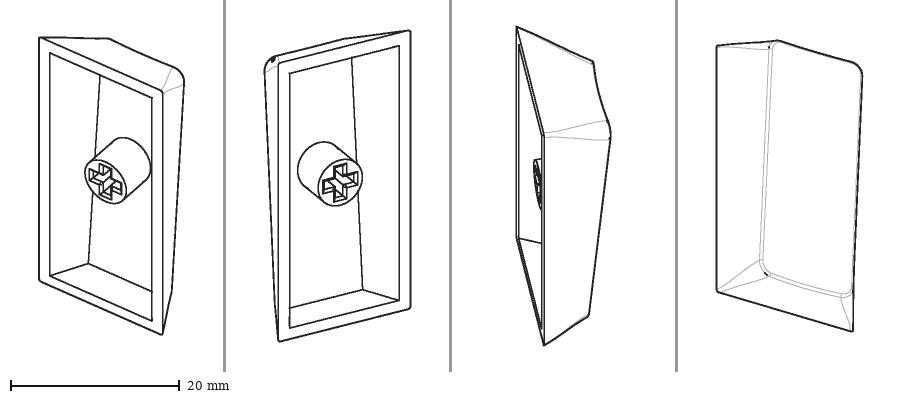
import cadquery as cq
import math

mouth_width = 18.0
length = 37.08
mouth_corner = 0.37

face_width = 12.15
face_top_z = 33.08
face_top_depth = 8.8
face_bottom_depth = 5.95
face_corner = 1.67
face_edge_round = 0.35
dish_sag = 0.5
wall_sections = 7

cavity_mouth_width = 14.85
cavity_bottom_z = 1.5
cavity_mouth_top_z = 35.35
floor_top_width = 9.8
floor_bottom_width = 10.05
floor_top_z = 32.0
floor_top_depth = 7.1
floor_bottom_depth = 4.55

stem_diameter = 6.0
stem_z = length / 2
stem_front = 1.0
cross_span = 4.0
cross_arm = 1.08
chamfer_width = 0.352
chamfer_depth = 0.3
chamfer_angle = math.degrees(math.atan(chamfer_width / chamfer_depth))
cross_depth = 3.7


def blend(start, end, t):
    return start + (end - start) * t


def tilted_rectangle(width, bottom, top, corner):
    """Rounded rectangle centred on X = 0, between (depth, z) points bottom and top."""
    depth_rise = top[0] - bottom[0]
    z_rise = top[1] - bottom[1]
    plane = cq.Plane(
        origin=(0, (bottom[0] + top[0]) / 2, (bottom[1] + top[1]) / 2),
        xDir=(1, 0, 0),
        normal=(0, -z_rise, depth_rise),
    )
    sketch = cq.Sketch().rect(width, math.hypot(depth_rise, z_rise)).vertices().fillet(corner)
    return sketch.reset().faces().val().outerWire().moved(plane.location)


def outer_section(t):
    """Wall section at fraction t of the way from mouth to touch face."""
    eased = t * t * (3 - 2 * t)
    return tilted_rectangle(
        blend(mouth_width, face_width, t),
        (face_bottom_depth * t, 0),
        (face_top_depth * t, blend(length, face_top_z, t)),
        blend(mouth_corner, face_corner, eased),
    )


def make_body():
    sections = [outer_section(i / (wall_sections - 1)) for i in range(wall_sections)]
    return cq.Workplane(cq.Solid.makeLoft(sections, False))


def make_dish():
    """Long cylinder parallel to the touch face that hollows it across X."""
    half_width = face_width / 2
    radius = (half_width**2 + dish_sag**2) / (2 * dish_sag)
    run = math.hypot(face_top_depth - face_bottom_depth, face_top_z)
    along = cq.Vector(0, (face_top_depth - face_bottom_depth) / run, face_top_z / run)
    outward = cq.Vector(0, along.z, -along.y)
    start = cq.Vector(0, face_bottom_depth, 0) + outward * (radius - dish_sag) - along * length
    return cq.Workplane(cq.Solid.makeCylinder(radius, 3 * length, start, along))


def trapezoid(bottom_width, top_width, bottom, top):
    """Wire of a trapezoid centred on X = 0, between (depth, z) points bottom and top."""
    corners = [
        cq.Vector(-bottom_width / 2, *bottom),
        cq.Vector(bottom_width / 2, *bottom),
        cq.Vector(top_width / 2, *top),
        cq.Vector(-top_width / 2, *top),
    ]
    return cq.Wire.makePolygon(corners, close=True)


def make_cavity():
    mouth = trapezoid(
        cavity_mouth_width,
        cavity_mouth_width,
        (0, cavity_bottom_z),
        (0, cavity_mouth_top_z),
    )
    floor = trapezoid(
        floor_bottom_width,
        floor_top_width,
        (floor_bottom_depth, cavity_bottom_z),
        (floor_top_depth, floor_top_z),
    )
    return cq.Workplane(cq.Solid.makeLoft([mouth, floor], True))


def stem_tip():
    """Workplane on the stem tip, facing into the part."""
    plane = cq.Plane(origin=(0, stem_front, stem_z), xDir=(-1, 0, 0), normal=(0, 1, 0))
    return cq.Workplane(plane)


def socket_cutter(growth, reach, taper=0):
    """Cross widened by growth on every side, cut from the stem tip towards +Y."""
    span = cross_span + 2 * growth
    arm = cross_arm + 2 * growth
    cross = cq.Sketch().rect(span, arm).rect(arm, span).clean()
    return stem_tip().placeSketch(cross).extrude(reach, taper=taper)


def make_stem():
    wall_middle = (floor_bottom_depth + face_top_depth) / 2
    stem_reach = wall_middle - stem_front
    return stem_tip().circle(stem_diameter / 2).extrude(stem_reach)


body = make_body().cut(make_dish())
body = body.faces(">Y").edges().fillet(face_edge_round)
body = body.cut(make_cavity()).union(make_stem())
body = body.cut(socket_cutter(0, cross_depth))
result = body.cut(socket_cutter(chamfer_width, chamfer_depth, chamfer_angle))